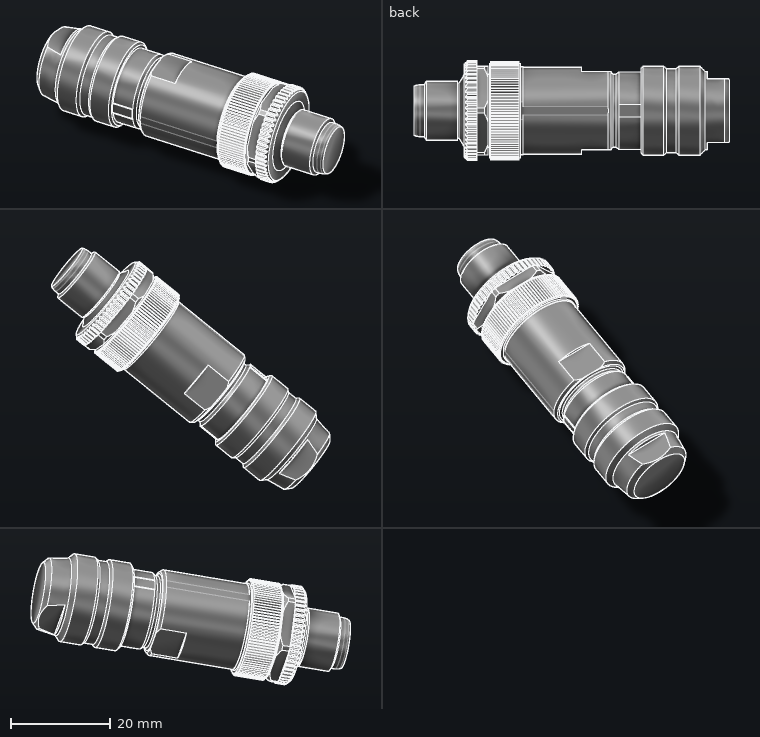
import cadquery as cq
import math

LENGTH = 63.7
NOSE_CHAMFER_END = 1.0
NOSE_FLAT_END = 4.45
NOSE_END = 5.0
SLEEVE_START = 6.0
SLEEVE_GROOVE_START = 10.2
SLEEVE_GROOVE_END = 13.3
SLEEVE_GROOVE_TAPER = 0.6
SLEEVE_END = 17.45
BARREL_START = 17.9
NECK_START = 22.3
NECK_TAPER_IN = 0.65
NECK_TAPER_OUT = 0.3
BODY_START = 23.9
BODY_CHAMFER_END = 24.5
BODY_FLAT_END = 29.9
COLLAR_START = 41.7
GRIP_START = 42.2
GRIP_KNURL_START = 42.5
GRIP_KNURL_END = 48.3
GRIP_END = 48.5
HEX_START = 48.7
RING_START = 51.0
RING_END = 53.6
FLANGE_END = 54.6
PLUG_START = 54.9
PLUG_CYLINDER_END = 61.2
PLUG_TIP_START = 61.6
PLUG_TAPER_START = 62.5
PLUG_END_TAPER_START = 63.25

NOSE_FACE_RADIUS = 6.25
NOSE_RADIUS = 7.3
NOSE_END_RADIUS = 7.95
SLEEVE_RADIUS = 18.0 / 2
SLEEVE_GROOVE_RADIUS = 17.0 / 2
BARREL_RADIUS = 7.87
NECK_RADIUS = 14.8 / 2
BODY_FACE_RADIUS = 8.3
BODY_RADIUS = 8.8
COLLAR_RADIUS = 8.9
GRIP_RADIUS = 9.55
GRIP_TOOTH_RADIUS = 9.95
NUT_RADIUS = 10.095
NUT_VALLEY_RADIUS = 9.7
FLANGE_RADIUS = 7.3
FLANGE_END_RADIUS = 5.6
PLUG_RADIUS = 12.0 / 2
PLUG_TIP_RADIUS = 10.6 / 2
PLUG_TAPER_RADIUS = 10.3 / 2
PLUG_END_RADIUS = 5.0

NOSE_FLAT = 6.465
BODY_FLAT = 7.93
BARREL_KEY_FLAT = 7.95
BARREL_KEY_WIDTH = 2.55
BODY_SIDE_FLAT = 8.745
HEX_FLAT = 9.0

GRIP_TEETH = 100
NUT_TEETH = 54
NUT_FLAT_SHARE = 0.25
HEX_CHAMFER = 0.75
RING_CHAMFER = 0.7


def turned(outline):
    """Solid of revolution about X from (x, radius) points, closed along the axis."""
    points = [(outline[0][0], 0)] + outline + [(outline[-1][0], 0)]
    return cq.Workplane("XY").polyline(points).close().revolve(360, (0, 0, 0), (1, 0, 0))


def flats(start, end, half_distance, axis):
    """Pair of blocks that cut two opposite flats, facing Y or Z, from start to end."""
    size = 2 * NUT_RADIUS
    offset = half_distance + size / 2
    blocks = cq.Workplane("XY")
    for side in (-1, 1):
        center = (0, side * offset) if axis == "Z" else (side * offset, 0)
        block = cq.Workplane("YZ", origin=(start, 0, 0)).center(*center).rect(size, size)
        blocks = blocks.add(block.extrude(end - start))
    return blocks.combine()


def polar(radius, angle):
    """Point of the YZ plane; the angle runs from +Y towards +Z."""
    return (radius * math.cos(angle), radius * math.sin(angle))


def knurl(start, end, teeth, tip_radius, valley_radius, flat_share=0):
    """Disc with straight teeth and a valley on +Z.

    Teeth are V-shaped, or have tips and valleys that are each flat over flat_share of the pitch.
    """
    pitch = 2 * math.pi / teeth
    half_flat = flat_share * pitch / 2
    corner_offsets = (-half_flat, half_flat) if half_flat > 0 else (0,)
    points = []
    for tooth in range(teeth):
        valley = math.pi / 2 + tooth * pitch
        tip = valley + pitch / 2
        points += [polar(valley_radius, valley + offset) for offset in corner_offsets]
        points += [polar(tip_radius, tip + offset) for offset in corner_offsets]
    return cq.Workplane("YZ", origin=(start, 0, 0)).polyline(points).close().extrude(end - start)


clamp = turned([
    (0, NOSE_FACE_RADIUS),
    (NOSE_CHAMFER_END, NOSE_RADIUS),
    (NOSE_END, NOSE_END_RADIUS),
    (SLEEVE_START, SLEEVE_RADIUS),
    (SLEEVE_GROOVE_START, SLEEVE_RADIUS),
    (SLEEVE_GROOVE_START + SLEEVE_GROOVE_TAPER, SLEEVE_GROOVE_RADIUS),
    (SLEEVE_GROOVE_END - SLEEVE_GROOVE_TAPER, SLEEVE_GROOVE_RADIUS),
    (SLEEVE_GROOVE_END, SLEEVE_RADIUS),
    (SLEEVE_END, SLEEVE_RADIUS),
    (BARREL_START, SLEEVE_GROOVE_RADIUS),
    (BARREL_START, BARREL_RADIUS),
    (NECK_START, BARREL_RADIUS),
    (NECK_START + NECK_TAPER_IN, NECK_RADIUS),
    (BODY_START - NECK_TAPER_OUT, NECK_RADIUS),
    (BODY_START, BARREL_RADIUS),
])
clamp = clamp.cut(flats(0, NOSE_FLAT_END, NOSE_FLAT, "Z"))
keys = cq.Workplane("YZ", origin=(BARREL_START, 0, 0)).rect(2 * BARREL_KEY_FLAT, BARREL_KEY_WIDTH)
clamp = clamp.union(keys.extrude(NECK_START - BARREL_START))

body = turned([
    (BODY_START, BODY_FACE_RADIUS),
    (BODY_CHAMFER_END, BODY_RADIUS),
    (COLLAR_START, BODY_RADIUS),
    (COLLAR_START, COLLAR_RADIUS),
    (GRIP_START, COLLAR_RADIUS),
])
body = body.cut(flats(BODY_START, BODY_FLAT_END, BODY_FLAT, "Z"))
body = body.cut(flats(BODY_START, GRIP_START, BODY_SIDE_FLAT, "Y"))

grip = turned([
    (GRIP_START, GRIP_RADIUS),
    (GRIP_END, GRIP_RADIUS),
    (GRIP_END, NECK_RADIUS),
    (HEX_START, NECK_RADIUS),
])
grip = grip.union(knurl(GRIP_KNURL_START, GRIP_KNURL_END, GRIP_TEETH, GRIP_TOOTH_RADIUS, GRIP_RADIUS))

nut = cq.Workplane("YZ", origin=(HEX_START, 0, 0)).polygon(6, 2 * HEX_FLAT / math.cos(math.pi / 6))
nut = nut.extrude(RING_START - HEX_START)
nut = nut.union(knurl(RING_START, RING_END, NUT_TEETH, NUT_RADIUS, NUT_VALLEY_RADIUS, NUT_FLAT_SHARE))
nut = nut.intersect(turned([
    (HEX_START, NUT_RADIUS - HEX_CHAMFER),
    (HEX_START + HEX_CHAMFER, NUT_RADIUS),
    (RING_END - RING_CHAMFER, NUT_RADIUS),
    (RING_END, NUT_RADIUS - RING_CHAMFER),
]))

plug = turned([
    (RING_END, FLANGE_RADIUS),
    (FLANGE_END, FLANGE_END_RADIUS),
    (PLUG_START, FLANGE_END_RADIUS),
    (PLUG_START, PLUG_RADIUS),
    (PLUG_CYLINDER_END, PLUG_RADIUS),
    (PLUG_TIP_START, PLUG_TIP_RADIUS),
    (PLUG_TAPER_START, PLUG_TIP_RADIUS),
    (PLUG_END_TAPER_START, PLUG_TAPER_RADIUS),
    (LENGTH, PLUG_END_RADIUS),
])

result = clamp.union(body).union(grip).union(nut).union(plug)